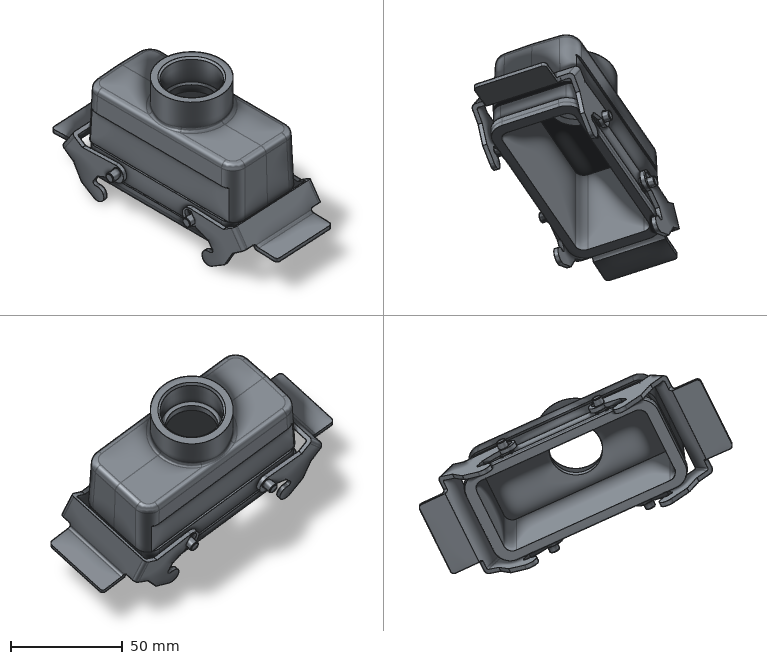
import cadquery as cq
import math

EMBED = 1.4
NEAR = 0.1

DRAFT = 1.7
HOOD_HALF_X = 46.5
HOOD_HALF_Y = 21.7
HOOD_CORNER_R = 7.5
END_CROWN = 0.3
HOOD_BASE_Z = 15.6
ROOF_Z = 47.4
ROOF_DROP = 0.4
ROOF_FILLET = 3.2

PANEL_TOP_Z = 34.1
PANEL_DEPTH = 1.0

BAND_HALF_X = 44.6
BAND_HALF_Y = HOOD_HALF_Y
BAND_CORNER_R = 5.6
FLANGE_HALF_X = 47.7
FLANGE_HALF_Y = 22.6
FLANGE_CORNER_R = 8.5
FLANGE_HEIGHT = 4.7
FLANGE_BEVEL_HEIGHT = 2.1
FLANGE_BEVEL_INSET = 0.3

COLLAR_D = 37.0
COLLAR_TOP_Z = 63.4
COLLAR_FILLET = 1.8
BORE_D = 28.3
BORE_DEPTH = 13.7
BORE_CHAMFER = 1.0
PASSAGE_D = 24.0

CAVITY_HALF_X = 42.2
CAVITY_HALF_Y = 18.1
CAVITY_CORNER_R = 4.2
CAVITY_TOP_Z = 46.0

PIN_X = 23.7
PIN_Z = 9.5
PIN_D = 4.7
PIN_TIP_D = 4.0
PIN_SPAN = 57.0
PIN_TIP_Y = PIN_SPAN / 2
BOSS_BASE_D = 7.0
BOSS_END_D = 6.0
BOSS_TAPER_Y = 22.5

SHEET = 2.1
LEVER_HALF_Y = 25.2
ARM_INNER_Y = LEVER_HALF_Y - SHEET
BEND_OUTER_R = 2.1
BEND_INNER_R = 0.8

PLATE_ANGLE = math.radians(57)
PLATE_TOP = (50.2, 19.0)
PLATE_LENGTH = 11.5
ARM_TOP = (43.5, 14.5)
ARM_BACK = (49.0, 3.8)
ARM_END_R = 4.7
ARM_NECK_ANGLE = math.radians(-53)
SLOT_TRAVEL = 2.8

HOOK_R = 8.0 / 2
HOOK_LOWEST_Z = -10.7
HOOK_CENTRE = (34.3, HOOK_LOWEST_Z + HOOK_R)
HOOK_HEEL = (44.2, -5.2)
THROAT_TOP = (34.1, 3.3)
THROAT_CORNER_X = 38.2
THROAT_R = 1.5

TAB_END_X = 69.7
TAB_HALF_Y = 17.8
TAB_ROOT_Z = 7.8
TAB_SLOPE = math.radians(2)
TAB_CORNER_R = 1.8
TAB_BEND_R = 2.0
TAB_ROOT_R = 1.4


def rounded_block(half_x, half_y, corner_r, z_low, z_high):
    """Upright block with rounded corners, centred on the Z axis."""
    block = cq.Workplane("XY").workplane(offset=z_low).rect(2 * half_x, 2 * half_y).extrude(z_high - z_low)
    return block.edges("|Z").fillet(corner_r)


def hood():
    """Drafted upper shell with crowned end walls, a slightly pitched roof and rounded edges."""
    outline = [
        (HOOD_HALF_X + END_CROWN, 0),
        (HOOD_HALF_X, HOOD_HALF_Y),
        (-HOOD_HALF_X, HOOD_HALF_Y),
        (-HOOD_HALF_X - END_CROWN, 0),
        (-HOOD_HALF_X, -HOOD_HALF_Y),
        (HOOD_HALF_X, -HOOD_HALF_Y),
    ]
    plan = cq.Workplane("XY").workplane(offset=HOOD_BASE_Z).polyline(outline).close()
    body = plan.extrude(ROOF_Z - HOOD_BASE_Z, taper=DRAFT)

    def is_corner(edge):
        box = edge.BoundingBox()
        return box.zlen > ROOF_FILLET and box.ymin > HOOD_HALF_Y / 2

    half_roof = [
        (0, HOOD_BASE_Z),
        (HOOD_HALF_Y, HOOD_BASE_Z),
        (HOOD_HALF_Y, ROOF_Z - ROOF_DROP),
        (0, ROOF_Z),
    ]
    half = body.intersect(cq.Workplane("YZ").polyline(half_roof).close().extrude(2 * HOOD_HALF_X, both=True))
    half = half.edges().filter(is_corner).fillet(HOOD_CORNER_R)
    rim = half.edges().filter(
        lambda edge: edge.BoundingBox().zmin > PANEL_TOP_Z and edge.Center().y > NEAR)
    half = rim.fillet(ROOF_FILLET)
    return half.union(half.mirror("XZ"))


def add_collar(body):
    """Round cable collar on the roof, blended into it at the foot."""
    foot_z = ROOF_Z - ROOF_FILLET - EMBED
    collar = cq.Workplane("XY").workplane(offset=foot_z).circle(COLLAR_D / 2).extrude(COLLAR_TOP_Z - foot_z)
    body = body.union(collar)

    def on_collar_foot(edge):
        on_roof = ROOF_Z - ROOF_FILLET < edge.Center().z < ROOF_Z + NEAR
        return on_roof and edge.BoundingBox().xmax < COLLAR_D / 2 + NEAR and edge.geomType() != "LINE"

    return body.edges().filter(on_collar_foot).fillet(COLLAR_FILLET)


def side_panel_cutters():
    """Two blocks that sink a panel, drafted like the hood, into each long side."""
    low_y = HOOD_HALF_Y - PANEL_DEPTH
    high_y = low_y - (PANEL_TOP_Z - HOOD_BASE_Z) * math.tan(math.radians(DRAFT))
    clear_y = 2 * HOOD_HALF_Y
    section = [(low_y, HOOD_BASE_Z), (clear_y, HOOD_BASE_Z), (clear_y, PANEL_TOP_Z), (high_y, PANEL_TOP_Z)]
    cutter = cq.Workplane("YZ").polyline(section).close().extrude(2 * HOOD_HALF_X, both=True)
    return cutter.union(cutter.mirror("XZ"))


def flange():
    """Rim at the open lower end, bevelled towards its underside."""
    rim = rounded_block(FLANGE_HALF_X, FLANGE_HALF_Y, FLANGE_CORNER_R, 0, FLANGE_HEIGHT)
    return rim.faces("<Z").edges().chamfer(FLANGE_BEVEL_HEIGHT, FLANGE_BEVEL_INSET)


def pivot_pin():
    """Pin with a bevelled tip and a boss tapering up to the lever, at the +X end of the +Y side."""
    root_y = BAND_HALF_Y - EMBED
    bevel = (PIN_D - PIN_TIP_D) / 2
    half_section = [
        (0, root_y),
        (BOSS_BASE_D / 2, root_y),
        (BOSS_BASE_D / 2, BOSS_TAPER_Y),
        (BOSS_END_D / 2, ARM_INNER_Y),
        (PIN_D / 2, ARM_INNER_Y),
        (PIN_D / 2, PIN_TIP_Y - bevel),
        (PIN_TIP_D / 2, PIN_TIP_Y),
        (0, PIN_TIP_Y),
    ]
    pin = cq.Workplane("XY").polyline(half_section).close().revolve(360, (0, 0, 0), (0, 1, 0))
    return pin.translate((PIN_X, 0, PIN_Z))


def bore():
    """Chamfered collar bore with the narrower passage down into the cavity."""
    floor_z = COLLAR_TOP_Z - BORE_DEPTH
    passage = cq.Workplane("XY").circle(PASSAGE_D / 2).extrude(COLLAR_TOP_Z)
    wide = cq.Workplane("XY").workplane(offset=floor_z).circle(BORE_D / 2).extrude(BORE_DEPTH)
    mouth_r = BORE_D / 2 + BORE_CHAMFER
    mouth = cq.Solid.makeCone(
        BORE_D / 2, mouth_r, BORE_CHAMFER, pnt=cq.Vector(0, 0, COLLAR_TOP_Z - BORE_CHAMFER))
    return passage.union(wide).union(cq.Workplane(mouth))


def make_housing():
    body = add_collar(hood()).cut(side_panel_cutters())
    body = body.union(rounded_block(BAND_HALF_X, BAND_HALF_Y, BAND_CORNER_R, 0, HOOD_BASE_Z))
    body = body.union(flange())
    body = body.cut(rounded_block(CAVITY_HALF_X, CAVITY_HALF_Y, CAVITY_CORNER_R, 0, CAVITY_TOP_Z))
    body = body.cut(bore())
    near_pin = pivot_pin()
    for pin in (near_pin, near_pin.mirror("XZ")):
        body = body.union(pin).union(pin.mirror("YZ"))
    return body


DOWN_PLATE = (math.cos(PLATE_ANGLE), -math.sin(PLATE_ANGLE))
INTO_PLATE = (-math.sin(PLATE_ANGLE), -math.cos(PLATE_ANGLE))
SLOT_CENTRE = (
    PIN_X - DOWN_PLATE[0] * SLOT_TRAVEL / 2,
    PIN_Z - DOWN_PLATE[1] * SLOT_TRAVEL / 2,
)


def plate_point(along, inward):
    """Point at a distance down the cross plate and inward from its outer face."""
    return (
        PLATE_TOP[0] + along * DOWN_PLATE[0] + inward * INTO_PLATE[0],
        PLATE_TOP[1] + along * DOWN_PLATE[1] + inward * INTO_PLATE[1],
    )


def tangent_point(start, centre, radius, turn):
    """Where a line from start touches a circle; turn is +1 or -1 to pick the side."""
    dx = start[0] - centre[0]
    dz = start[1] - centre[1]
    angle = math.atan2(dz, dx) + turn * math.acos(radius / math.hypot(dx, dz))
    return (centre[0] + radius * math.cos(angle), centre[1] + radius * math.sin(angle))


def arm_profile():
    """Side outline of the lever: plate end, slotted arm and hook."""
    arm_end = (SLOT_CENTRE[0] - ARM_END_R, SLOT_CENTRE[1])
    arm_neck = (
        SLOT_CENTRE[0] + ARM_END_R * math.cos(ARM_NECK_ANGLE),
        SLOT_CENTRE[1] + ARM_END_R * math.sin(ARM_NECK_ANGLE),
    )
    hook_top = (HOOK_CENTRE[0], HOOK_CENTRE[1] + HOOK_R)
    hook_tip = (HOOK_CENTRE[0] - HOOK_R, HOOK_CENTRE[1])
    return (
        cq.Workplane("XZ")
        .moveTo(*PLATE_TOP)
        .lineTo(*ARM_TOP)
        .lineTo(*tangent_point(ARM_TOP, SLOT_CENTRE, ARM_END_R, 1))
        .threePointArc(arm_end, arm_neck)
        .lineTo(*THROAT_TOP)
        .lineTo(THROAT_CORNER_X, hook_top[1])
        .lineTo(*hook_top)
        .threePointArc(hook_tip, tangent_point(HOOK_HEEL, HOOK_CENTRE, HOOK_R, -1))
        .lineTo(*HOOK_HEEL)
        .lineTo(*ARM_BACK)
        .lineTo(*plate_point(PLATE_LENGTH, 0))
        .close()
    )


def bracket():
    """U-shaped sheet: two hooked arms joined by the sloping cross plate."""
    along_plate = cq.selectors.ParallelDirSelector(cq.Vector(DOWN_PLATE[0], 0, DOWN_PLATE[1]))
    body = arm_profile().extrude(LEVER_HALF_Y, both=True)
    body = body.edges(along_plate).fillet(BEND_OUTER_R)

    def at_throat(edge):
        middle = edge.Center()
        return math.hypot(middle.x - THROAT_CORNER_X, middle.z - HOOK_CENTRE[1] - HOOK_R) < NEAR

    body = body.edges("|Y").filter(at_throat).fillet(THROAT_R)

    reach = 2 * TAB_END_X
    inside = [
        plate_point(-reach, SHEET),
        plate_point(reach, SHEET),
        plate_point(reach, reach),
        plate_point(-reach, reach),
    ]
    space = cq.Workplane("XZ").polyline(inside).close().extrude(ARM_INNER_Y, both=True)
    body = body.cut(space.edges(along_plate).fillet(BEND_INNER_R))

    slot = (
        cq.Workplane("XZ")
        .center(*SLOT_CENTRE)
        .slot2D(SLOT_TRAVEL + PIN_D, PIN_D, -math.degrees(PLATE_ANGLE))
        .extrude(LEVER_HALF_Y, both=True)
    )
    return body.cut(slot)


def tab():
    """Finger tab bent outward below the cross plate, flared where it joins the plate."""
    overlap = PLATE_LENGTH / 2
    bend_length = (PLATE_TOP[1] - TAB_ROOT_Z) / math.sin(PLATE_ANGLE)
    bend_outer = plate_point(bend_length, 0)
    mitre = SHEET * math.tan((PLATE_ANGLE - TAB_SLOPE) / 2)
    end_top_z = TAB_ROOT_Z - (TAB_END_X - bend_outer[0]) * math.tan(TAB_SLOPE)
    section = [
        plate_point(overlap, 0),
        bend_outer,
        (TAB_END_X, end_top_z),
        (TAB_END_X, end_top_z - SHEET / math.cos(TAB_SLOPE)),
        plate_point(bend_length + mitre, SHEET),
        plate_point(overlap, SHEET),
    ]
    strip = cq.Workplane("XZ").polyline(section).close().extrude(TAB_HALF_Y + TAB_ROOT_R, both=True)

    def at_bend(edge):
        middle = edge.Center()
        return math.hypot(middle.x - bend_outer[0], middle.z - bend_outer[1]) < NEAR

    strip = strip.edges("|Y").filter(at_bend).fillet(TAB_BEND_R)

    plate_plane = cq.Plane(
        origin=(PLATE_TOP[0], 0, PLATE_TOP[1]),
        xDir=(DOWN_PLATE[0], 0, DOWN_PLATE[1]),
        normal=(INTO_PLATE[0], 0, INTO_PLATE[1]),
    )
    trim = TAB_END_X / 2
    for side in (1, -1):
        block = (
            cq.Workplane(plate_plane)
            .center(PLATE_LENGTH + trim / 2, side * (TAB_HALF_Y + trim / 2))
            .rect(trim, trim)
            .extrude(trim, both=True)
        )
        along_thickness = cq.selectors.ParallelDirSelector(plate_plane.zDir)
        strip = strip.cut(block.edges(along_thickness).fillet(TAB_ROOT_R))
    return strip.edges("|Z and >X").fillet(TAB_CORNER_R)


def make_lever(end):
    """Locking lever; end is +1 for the +X end of the housing and -1 for the -X end."""
    lever = bracket().union(tab())
    return lever if end > 0 else lever.mirror("YZ")


housing = make_housing()
levers = [make_lever(end) for end in (1, -1)]

result = cq.Compound.makeCompound([housing.val(), *[lever.val() for lever in levers]])